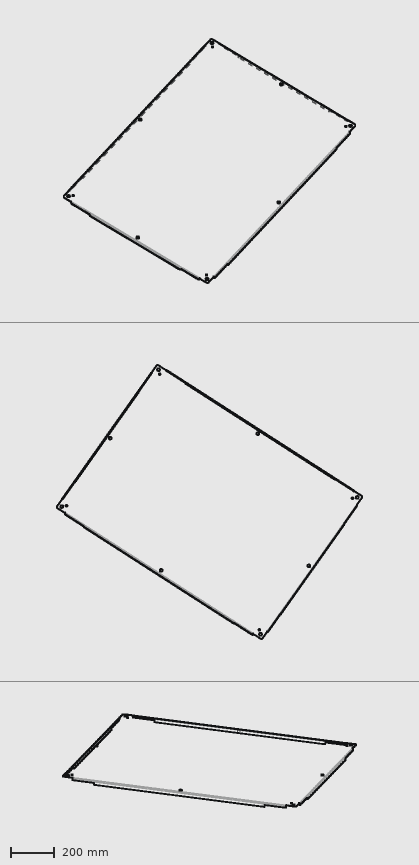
import cadquery as cq

length_x = 837.0
length_y = 1141.0
height = 22.0
sheet = 2.5
bend_radius_x = 6.3
bend_radius_y = 5.0

plate_setback_x = 3.0
plate_setback_y = 1.7
corner_radius = 7.0

flange_end_gap = 50.0
skirt_end_gap = 155.0
shallow_depth = 13.0
short_side_bevel = 5.0
long_side_bevel = 0

mount_diameter = 13.0
mount_x = 397.0
mount_y = 550.0
pilot_diameter = 7.2
pilot_x = 382.0
pilot_y = 534.0


def make_plate():
    """Flat plate with rounded corners, its top face at z = height."""
    return (
        cq.Workplane("XY", origin=(0, 0, height - sheet))
        .rect(length_x - 2 * plate_setback_x, length_y - 2 * plate_setback_y)
        .extrude(sheet)
        .edges("|Z")
        .fillet(corner_radius)
    )


def bent_channel(width, run, bend_radius):
    """Downward-open channel of the given width across X, running along Y."""
    outer = (
        cq.Workplane("XY")
        .box(width, run, height, centered=(True, True, False))
        .edges("|Y and >Z")
        .fillet(bend_radius)
    )
    inner = (
        cq.Workplane("XY")
        .box(width - 2 * sheet, run, height - sheet, centered=(True, True, False))
        .edges("|Y and >Z")
        .fillet(bend_radius - sheet)
    )
    return outer.cut(inner)


def stepped_block(width, run, bevel):
    """Block that trims a channel's flanges to the stepped side profile."""
    block = None
    for end_gap, depth in ((flange_end_gap, shallow_depth), (skirt_end_gap, height)):
        band = (
            cq.Workplane("XY", origin=(0, 0, height - depth))
            .rect(width, run - 2 * end_gap)
            .extrude(depth)
        )
        if bevel > 0:
            band = band.edges("|X and <Z").chamfer(bevel)
        block = band if block is None else block.union(band)
    return block


def make_flanges(width, run, bend_radius, bevel):
    """Pair of stepped flanges at x = +-width / 2, joined by the sheet between them."""
    return bent_channel(width, run, bend_radius).intersect(stepped_block(width, run, bevel))


def trim_over_bend(width, run, bend_radius):
    """Space where the flat plate would overhang a flange's rounded bend."""
    blank = cq.Workplane("XY").box(
        width, run - 2 * flange_end_gap, height, centered=(True, True, False)
    )
    return blank.cut(blank.edges("|Y and >Z").fillet(bend_radius))


quarter_turn = ((0, 0, 0), (0, 0, 1), 90)
long_sides = (length_x, length_y, bend_radius_x)
short_sides = (length_y, length_x, bend_radius_y)

plate = make_plate()
plate = plate.cut(trim_over_bend(*long_sides))
plate = plate.cut(trim_over_bend(*short_sides).rotate(*quarter_turn))

result = plate.union(make_flanges(*long_sides, long_side_bevel))
result = result.union(make_flanges(*short_sides, short_side_bevel).rotate(*quarter_turn))

mount_points = [
    (x, y)
    for x in (-mount_x, 0, mount_x)
    for y in (-mount_y, 0, mount_y)
    if (x, y) != (0, 0)
]
pilot_points = [(x, y) for x in (-pilot_x, pilot_x) for y in (-pilot_y, pilot_y)]
for points, diameter in ((mount_points, mount_diameter), (pilot_points, pilot_diameter)):
    holes = cq.Workplane("XY").pushPoints(points).circle(diameter / 2).extrude(height)
    result = result.cut(holes)